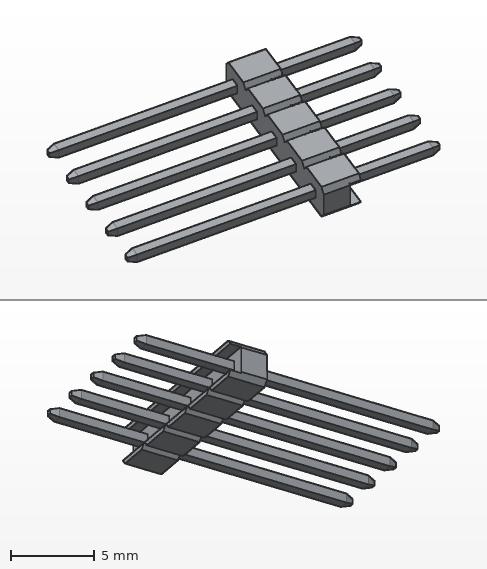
import cadquery as cq

pin_count = 5
body_width = 12.7
pitch = body_width / pin_count

body_height = 2.5
body_depth = 2.53
bevel_width = 0.3
bevel_height = 0.4
recess_depth = 0.74
lip_thickness = 0.34

pin_length = 21.1
pin_side = 0.63
pin_front_reach = 12.62
pin_row_offset = -0.1
tip_length = 0.55
tip_side = 0.32

body_rear = body_depth
pin_front = -pin_front_reach
pin_rear = pin_front + pin_length


def centred_positions(count):
    """X positions of items one pitch apart, centred on X = 0."""
    return [(index - (count - 1) / 2) * pitch for index in range(count)]


def box_along_y(width, height, y_start, y_end):
    """Box centred on X = 0 and Z = 0 between two Y positions."""
    length = y_end - y_start
    return cq.Workplane("XY").box(width, length, height).translate((0, y_start + length / 2, 0))


def make_bevel_groove():
    """V groove along Y, cut into the top of the body at X = 0."""
    top = body_height / 2
    return (
        cq.Workplane("XZ")
        .moveTo(-bevel_width, top)
        .lineTo(0, top - bevel_height)
        .lineTo(bevel_width, top)
        .close()
        .extrude(-body_depth)
    )


def make_body():
    """Row of bevelled cells with a slot across the rear face."""
    body = box_along_y(body_width, body_height, 0, body_rear)

    top_groove = make_bevel_groove()
    bottom_groove = top_groove.mirror("XY")
    for x in centred_positions(pin_count + 1):
        body = body.cut(top_groove.translate((x, 0, 0)))
        body = body.cut(bottom_groove.translate((x, 0, 0)))

    slot_height = body_height - 2 * lip_thickness
    slot = box_along_y(body_width, slot_height, body_rear - recess_depth, body_rear)
    return body.cut(slot)


def make_tip():
    """Tapered pin end, from its wide base at Y = 0 to its tip on the -Y side."""
    return (
        cq.Workplane("XZ")
        .rect(pin_side, pin_side)
        .workplane(offset=tip_length)
        .rect(tip_side, tip_side)
        .loft(ruled=True)
    )


def make_pin():
    """Square pin with a tapered tip at each end."""
    shank_front = pin_front + tip_length
    shank_rear = pin_rear - tip_length
    shank = box_along_y(pin_side, pin_side, shank_front, shank_rear)
    tip = make_tip()
    front_tip = tip.translate((0, shank_front, 0))
    rear_tip = tip.mirror("XZ").translate((0, shank_rear, 0))
    return shank.union(front_tip).union(rear_tip)


result = make_body()
pin = make_pin()
for x in centred_positions(pin_count):
    result = result.union(pin.translate((x + pin_row_offset, 0, 0)))